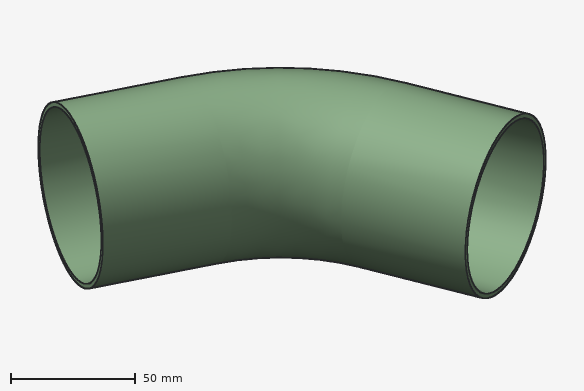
import cadquery as cq
import math

overall_length = 188.0
outer_diameter = 76.1
inner_diameter = 72.2
tail_length = 54.9
bend_angle = 45.0

sin_bend = math.sin(math.radians(bend_angle))
cos_bend = math.cos(math.radians(bend_angle))
bend_radius = (
    (overall_length - tail_length * (1 + cos_bend)) / sin_bend - outer_diameter / 2
)


def ring(plane):
    """Pipe cross-section on the given plane."""
    return cq.Workplane(plane).circle(outer_diameter / 2).circle(inner_diameter / 2)


inlet_plane = cq.Plane(origin=(0, 0, 0), xDir=(1, 0, 0), normal=(0, 1, 0))
inlet = ring(inlet_plane).extrude(tail_length)

bend_plane = cq.Plane(origin=(0, tail_length, 0), xDir=(1, 0, 0), normal=(0, 1, 0))
bend = ring(bend_plane).revolve(bend_angle, (bend_radius, 0), (bend_radius, 1))

bend_end = (bend_radius * (1 - cos_bend), tail_length + bend_radius * sin_bend, 0)
outlet_plane = cq.Plane(
    origin=bend_end, xDir=(cos_bend, -sin_bend, 0), normal=(sin_bend, cos_bend, 0)
)
outlet = ring(outlet_plane).extrude(tail_length)

result = inlet.union(bend).union(outlet)